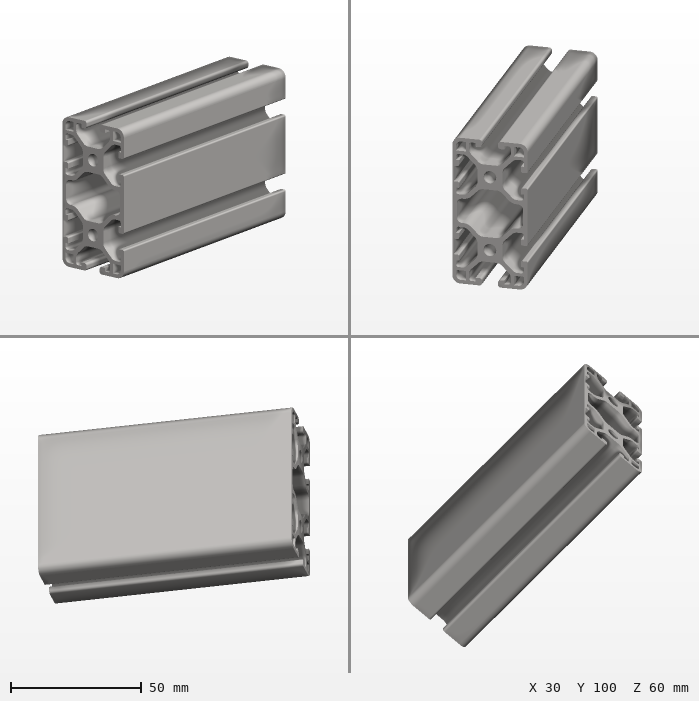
import cadquery as cq
import math

width = 30.0
height = 60.0
length = 100.0
cell = width
corner_radius = 3.2
wall = 1.5
bore_diameter = 5.0

mouth_half = 3.2
lip_back_half = 5.7
pocket_half = 8.3
core_half = 5.0
slot_depth = cell / 2 - core_half
end_lip = 3.0
side_lip = 2.7
end_lip_radius = 1.0
side_lip_radius = 0.6
pocket_radius = 1.0
side_web = 0.6

end_web_shift = 1.2
outer_side_web_shift = 1.5
inner_side_web_shift = 1.3
middle_web_shift = 1.3
bend_radius = 3.0

corner_cell_size = 3.9
corner_cell_radius = 2.0
chamber_wall = 1.8
chamber_half_height = 5.0
chamber_core_half = 5.2
chamber_radius = 2.2
chamber_bend_radius = 4.5

clearance = 2.0


def rounded_wire(corners):
    """Closed XZ outline through (x, z, radius) corners, each rounded by a tangent arc."""
    stretches = []
    for i, (x, z, radius) in enumerate(corners):
        if radius == 0:
            stretches.append([(x, z)])
            continue
        before = corners[i - 1]
        after = corners[(i + 1) % len(corners)]
        in_angle = math.atan2(before[1] - z, before[0] - x)
        out_angle = math.atan2(after[1] - z, after[0] - x)
        half_angle = math.acos(math.cos(out_angle - in_angle)) / 2
        tangent = radius / math.tan(half_angle)
        start = (x + tangent * math.cos(in_angle), z + tangent * math.sin(in_angle))
        end = (x + tangent * math.cos(out_angle), z + tangent * math.sin(out_angle))
        bisector_x = math.cos(in_angle) + math.cos(out_angle)
        bisector_z = math.sin(in_angle) + math.sin(out_angle)
        reach = (radius / math.sin(half_angle) - radius) / math.hypot(bisector_x, bisector_z)
        middle = (x + reach * bisector_x, z + reach * bisector_z)
        stretches.append([start, middle, end])

    outline = cq.Workplane("XZ").moveTo(*stretches[0][-1])
    for stretch in stretches[1:] + stretches[:1]:
        outline = outline.lineTo(*stretch[0])
        if len(stretch) == 3:
            outline = outline.threePointArc(*stretch[1:])
    return outline.close()


def prism(corners):
    """Full-length prism over a rounded outline."""
    return rounded_wire(corners).extrude(length / 2, both=True)


def pocket_half_outline(web_shift):
    """(depth, offset, radius) corners of one half of a slot pocket, from lip to core."""
    bend_depth = cell / 2 - pocket_half - web_shift
    core_offset = core_half - web_shift
    return [
        (wall, lip_back_half, 0),
        (wall, pocket_half, pocket_radius),
        (bend_depth, pocket_half, bend_radius),
        (slot_depth, core_offset, bend_radius),
    ]


def mouth_half_outline(lip, lip_radius):
    """(depth, offset, radius) corners of one half of an open mouth with rounded lips."""
    flare = mouth_half + clearance
    return [
        (-clearance, flare, 0),
        (0, flare, 0),
        (0, mouth_half, lip_radius),
        (lip, mouth_half, lip_radius),
        (lip, lip_back_half, 0),
    ]


def closed_half_outline():
    """(depth, offset, radius) corners of one half of a mouth closed by a thin skin."""
    return [
        (side_web, mouth_half, 0),
        (side_lip, mouth_half, side_lip_radius),
        (side_lip, lip_back_half, 0),
    ]


def opposite(half_outline):
    return [(depth, -offset, radius) for depth, offset, radius in reversed(half_outline)]


def end_slot():
    """Open slot in the top face of the upper cell."""
    half = mouth_half_outline(end_lip, end_lip_radius)
    half += pocket_half_outline(end_web_shift)
    outline = half + opposite(half)
    return prism([(offset, height / 2 - depth, r) for depth, offset, r in outline])


def side_slot(side, mouth):
    """Side slot of the upper cell; side is +1 for the +X face and -1 for the -X face."""
    outer = mouth + pocket_half_outline(outer_side_web_shift)
    inner = mouth + pocket_half_outline(inner_side_web_shift)
    outline = outer + opposite(inner)
    return prism([(side * (width / 2 - depth), cell / 2 + offset, r) for depth, offset, r in outline])


def corner_cell(side):
    """Small square hollow behind an upper outer corner."""
    outer_x = width / 2 - wall
    outer_z = height / 2 - wall
    inner_x = outer_x - corner_cell_size
    inner_z = outer_z - corner_cell_size
    corners = [
        (inner_x, inner_z, 0),
        (outer_x, inner_z, 0),
        (outer_x, outer_z, corner_cell_radius),
        (inner_x, outer_z, 0),
    ]
    return prism([(side * x, z, r) for x, z, r in corners])


def middle_chamber():
    """Large hollow between the two cells, tapering at 45 degrees to the cores."""
    side_x = width / 2 - chamber_wall
    top_z = cell / 2 - chamber_core_half
    narrow_x = chamber_core_half - middle_web_shift
    wide_x = narrow_x + top_z - chamber_half_height
    quarter = [
        (side_x, chamber_half_height, chamber_radius),
        (wide_x, chamber_half_height, chamber_bend_radius),
        (narrow_x, top_z, bend_radius),
    ]
    upper = quarter + [(-x, z, r) for x, z, r in reversed(quarter)]
    lower = [(x, -z, r) for x, z, r in reversed(upper)]
    return prism(upper + lower)


def bore():
    """Round hole along the core of the upper cell."""
    circle = cq.Workplane("XZ").center(0, cell / 2).circle(bore_diameter / 2)
    return circle.extrude(length / 2, both=True)


body = cq.Workplane("XY").box(width, length, height).edges("|Y").fillet(corner_radius)

upper_cutters = [
    end_slot(),
    side_slot(1, mouth_half_outline(side_lip, side_lip_radius)),
    side_slot(-1, closed_half_outline()),
    corner_cell(1),
    corner_cell(-1),
    bore(),
]
for cutter in upper_cutters:
    body = body.cut(cutter).cut(cutter.mirror("XY"))

result = body.cut(middle_chamber())